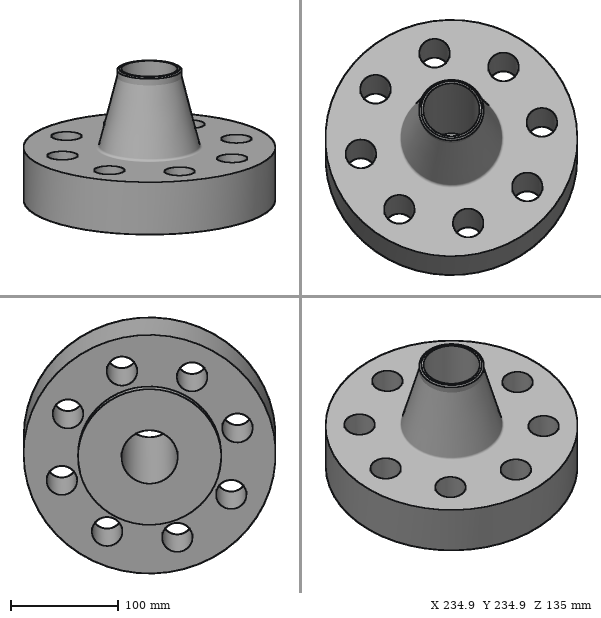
import cadquery as cq

flange_diameter = 234.9
flange_thickness = 51.0

raised_face_diameter = 133.5
raised_face_height = 8.0

total_height = 135.0
hub_base_diameter = 95.1
hub_fillet_radius = 2.8
weld_end_diameter = 60.4
weld_end_length = 7.5
weld_bevel_width = 1.9
weld_bevel_height = 1.2
bore_diameter = 52.4

bolt_count = 8
bolt_circle_diameter = 171.5
bolt_hole_diameter = 28.5

top_z = total_height - raised_face_height
taper_top_z = top_z - weld_end_length


def revolved_body():
    """Solid of revolution: raised face, disc, tapered hub and weld end."""
    profile = (
        cq.Workplane("XZ")
        .moveTo(0, -raised_face_height)
        .lineTo(raised_face_diameter / 2, -raised_face_height)
        .lineTo(raised_face_diameter / 2, 0)
        .lineTo(flange_diameter / 2, 0)
        .lineTo(flange_diameter / 2, flange_thickness)
        .lineTo(hub_base_diameter / 2, flange_thickness)
        .lineTo(weld_end_diameter / 2, taper_top_z)
        .lineTo(weld_end_diameter / 2, top_z - weld_bevel_height)
        .lineTo(weld_end_diameter / 2 - weld_bevel_width, top_z)
        .lineTo(0, top_z)
        .close()
    )
    return profile.revolve(360, (0, 0, 0), (0, 1, 0))


def fillet_hub_base(body):
    """Round the inside corner where the hub meets the disc."""
    reach = hub_base_diameter / 2 + hub_fillet_radius
    corner = cq.selectors.BoxSelector(
        (-reach, -reach, flange_thickness - hub_fillet_radius),
        (reach, reach, flange_thickness + hub_fillet_radius),
        boundingbox=True,
    )
    return body.edges(corner).fillet(hub_fillet_radius)


def cut_bore(body):
    """Cut the straight bore through the whole part."""
    bore = (
        cq.Workplane("XY", origin=(0, 0, -raised_face_height))
        .circle(bore_diameter / 2)
        .extrude(total_height)
    )
    return body.cut(bore)


def cut_bolt_holes(body):
    """Cut the ring of bolt holes through the disc."""
    holes = (
        cq.Workplane("XY")
        .polarArray(bolt_circle_diameter / 2, 0, 360, bolt_count)
        .circle(bolt_hole_diameter / 2)
        .extrude(flange_thickness)
    )
    return body.cut(holes)


result = cut_bolt_holes(cut_bore(fillet_hub_base(revolved_body())))